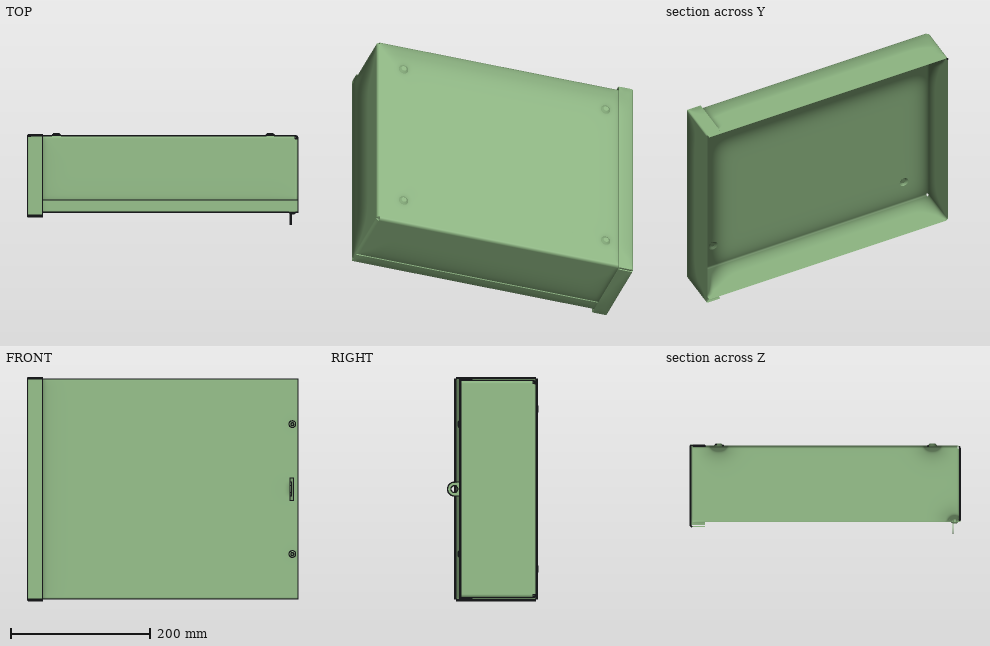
import cadquery as cq

LENGTH = 388.0
SHEET = 1.5
FIT_GAP = 0.8
INNER_START = 4.0

HOOD_HEIGHT = 320.5
HOOD_LENGTH = 21.7
HOOD_OVERHANG = 6.5
HOOD_BEND = 2.5

COVER_FRONT = -110.2
COVER_HEIGHT = HOOD_HEIGHT - 2 * (SHEET + FIT_GAP)
COVER_BEND = 2.5
COVER_FLANGE = 18.2

BODY_HEIGHT = COVER_HEIGHT - 2 * (SHEET + FIT_GAP)
BODY_FRONT = COVER_FRONT + COVER_BEND
BODY_BEND = 4.3
BODY_BEND_EDGES = "(>Y and (not <X)) or (>X and |Y)"
LIP_WIDTH = 15.5
LIP_HEIGHT = 271.5

DIMPLE_TOP_DIAMETER = 7.8
DIMPLE_BASE_DIAMETER = 14.0
DIMPLE_RISE = 2.7
DIMPLE_XS = (41.5, 348.0)
DIMPLE_Z = 115.0

TAB_X = 377.0
TAB_RADIUS = 10.0
TAB_HOLE_DIAMETER = 9.7
TAB_TIP = -127.3
SLOT_WIDTH = 4.5
SLOT_LENGTH = 32.2

SCREW_X = 380.0
SCREW_Z = 93.0
SHANK_DIAMETER = 4.3
HEAD_DIAMETER = 9.7
HEAD_HEIGHT = 2.5
DOME_RADIUS = ((HEAD_DIAMETER / 2) ** 2 + HEAD_HEIGHT**2) / (2 * HEAD_HEIGHT)
SOCKET_DIAMETER = 4.0
SOCKET_DEPTH = 1.0


def block(x_range, y_range, height, z=0.0):
    """Box between two X and two Y values, centred on the given Z."""
    x_size = x_range[1] - x_range[0]
    y_size = y_range[1] - y_range[0]
    center = (x_range[0] + x_size / 2, y_range[0] + y_size / 2, z)
    return cq.Workplane("XY").box(x_size, y_size, height).translate(center)


def rod(diameter, x, z, y_start, y_end):
    """Cylinder along Y from y_start down to y_end."""
    plane = cq.Workplane("XZ", origin=(x, y_start, z))
    return plane.circle(diameter / 2).extrude(y_start - y_end)


def screw_shank(z):
    """Shank volume from the back of the lip to the cover front."""
    return rod(SHANK_DIAMETER, SCREW_X, z, BODY_FRONT + SHEET, COVER_FRONT)


def dimple_cones(x, z):
    """Outer and inner cones of a dimple: the first adds metal, the second hollows it."""

    def cone(base_y):
        return (
            cq.Workplane("XZ", origin=(x, base_y, z))
            .circle(DIMPLE_BASE_DIAMETER / 2)
            .workplane(offset=-DIMPLE_RISE)
            .circle(DIMPLE_TOP_DIAMETER / 2)
            .loft()
        )

    return cone(0), cone(-SHEET)


def make_body():
    outer = block((INNER_START, LENGTH), (BODY_FRONT, 0), BODY_HEIGHT)
    outer = outer.edges(BODY_BEND_EDGES).fillet(BODY_BEND)
    inner = block((INNER_START, LENGTH - SHEET), (BODY_FRONT, -SHEET), BODY_HEIGHT - 2 * SHEET)
    inner = inner.edges(BODY_BEND_EDGES).fillet(BODY_BEND - SHEET)
    body = outer.cut(inner)

    lip = block((LENGTH - LIP_WIDTH, LENGTH - SHEET), (BODY_FRONT, BODY_FRONT + SHEET), LIP_HEIGHT)
    body = body.union(lip)
    for z in (-SCREW_Z, SCREW_Z):
        body = body.cut(screw_shank(z))

    for side in (-1, 1):
        relief_z = side * (BODY_HEIGHT - BODY_BEND) / 2
        corner = ((LENGTH - BODY_BEND, LENGTH), (-BODY_BEND, 0))
        body = body.cut(block(*corner, BODY_BEND, relief_z))

    for x in DIMPLE_XS:
        for z in (-DIMPLE_Z, DIMPLE_Z):
            bump, hollow = dimple_cones(x, z)
            body = body.union(bump).cut(hollow)
    return body


def make_cover():
    flange_end = COVER_FRONT + COVER_FLANGE
    outer = block((INNER_START, LENGTH), (COVER_FRONT, flange_end), COVER_HEIGHT)
    outer = outer.edges("<Y and |X").fillet(COVER_BEND)
    inner = block((INNER_START, LENGTH), (COVER_FRONT + SHEET, flange_end), COVER_HEIGHT - 2 * SHEET)
    inner = inner.edges("<Y and |X").fillet(COVER_BEND - SHEET)
    cover = outer.cut(inner)

    slot = block((TAB_X, TAB_X + SLOT_WIDTH), (COVER_FRONT, COVER_FRONT + SHEET), SLOT_LENGTH)
    cover = cover.cut(slot)
    for z in (-SCREW_Z, SCREW_Z):
        cover = cover.cut(screw_shank(z))
    return cover


def make_hood():
    back = SHEET
    front = COVER_FRONT - HOOD_OVERHANG
    outer = block((0, HOOD_LENGTH), (front, back), HOOD_HEIGHT).edges("<X").fillet(HOOD_BEND)
    inner = block((SHEET, HOOD_LENGTH), (front + SHEET, back - SHEET), HOOD_HEIGHT - 2 * SHEET)
    inner = inner.edges("<X").fillet(HOOD_BEND - SHEET)
    hood = outer.cut(inner)

    for y_range in ((front, front + HOOD_BEND), (back - HOOD_BEND, back)):
        for side in (-1, 1):
            notch_z = side * (HOOD_HEIGHT - HOOD_BEND) / 2
            hood = hood.cut(block((0, HOOD_LENGTH), y_range, HOOD_BEND, notch_z))
    return hood


def make_tab():
    """Flat round-ended tab standing on the lip, with a padlock hole."""
    center_y = TAB_TIP + TAB_RADIUS
    tab = (
        cq.Workplane("YZ", origin=(TAB_X, 0, 0))
        .moveTo(BODY_FRONT, -TAB_RADIUS)
        .lineTo(center_y, -TAB_RADIUS)
        .threePointArc((TAB_TIP, 0), (center_y, TAB_RADIUS))
        .lineTo(BODY_FRONT, TAB_RADIUS)
        .close()
        .extrude(SHEET)
    )
    hole = (
        cq.Workplane("YZ", origin=(TAB_X, center_y, 0))
        .circle(TAB_HOLE_DIAMETER / 2)
        .extrude(SHEET)
    )
    return tab.cut(hole)


def make_screw(z):
    """Screw with a domed head, a round socket and a plain shank."""
    head_radius = HEAD_DIAMETER / 2
    head = (
        cq.Workplane("XY", origin=(SCREW_X, COVER_FRONT, z))
        .lineTo(head_radius, 0)
        .radiusArc((0, -HEAD_HEIGHT), DOME_RADIUS)
        .close()
        .revolve(360, (0, 0), (0, 1))
    )
    head_top = COVER_FRONT - HEAD_HEIGHT
    socket = rod(SOCKET_DIAMETER, SCREW_X, z, head_top + SOCKET_DEPTH, head_top)
    return head.cut(socket).union(screw_shank(z))


body = make_body()
cover = make_cover()
hood = make_hood()
tab = make_tab()
screws = [make_screw(z).val() for z in (-SCREW_Z, SCREW_Z)]

result = cq.Compound.makeCompound([body.val(), cover.val(), hood.val(), tab.val(), *screws])